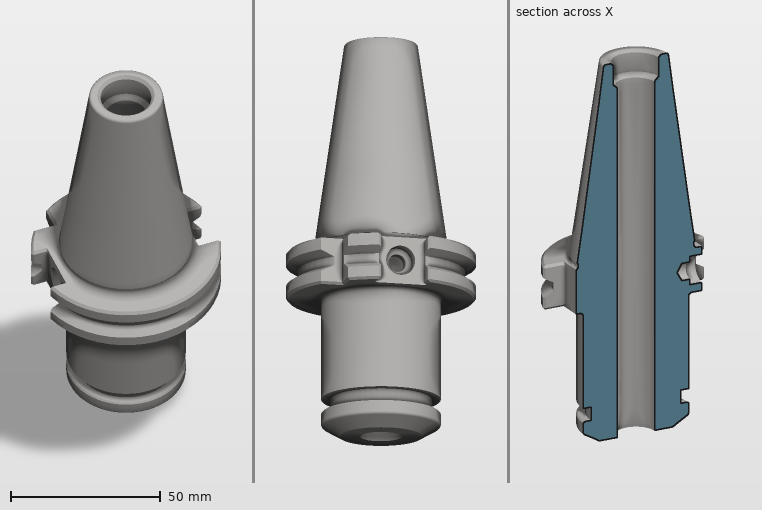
import cadquery as cq
import math


GAUGE_DIAMETER = 44.45
TAPER_LENGTH = 68.4
TAPER_RATIO = 7 / 24
TAPER_OVERRUN = 1.0
SHANK_END_FILLET = 1.0

NECK_DIAMETER = 44.0
NECK_FILLET = 1.0

FLANGE_DIAMETER = 63.55
FLANGE_TOP = -3.1
FLANGE_BOTTOM = -19.0
FLANGE_CHAMFER = 0.85

GROOVE_Z = -11.0
GROOVE_FLOOR_DIAMETER = 56.25
GROOVE_FLOOR_WIDTH = 3.0
GROOVE_FLANK_ANGLE = 30

SLOT_WIDTH = 16.1
REAR_SLOT_DISTANCE = 22.6
FRONT_SLOT_DISTANCE = 25.0
SLOT_FILLET = 0.5
NOTCH_DISTANCE = 18.5

CHIP_HOLE_DIAMETER = 10.0
CHIP_HOLE_DEPTH = 4.6
PILOT_DIAMETER = 6.0
PILOT_DEPTH = 3.0
DRILL_POINT_ANGLE = 118

TOTAL_LENGTH = 134.25
BODY_DIAMETER = 40.0
BODY_FILLET = 1.2
RECESS_DIAMETER = 34.0
RECESS_TOP = -53.2
RECESS_BOTTOM = -57.8
COLLAR_CHAMFER = 0.5
COLLAR_FILLET = 1.0
NOSE_DIAMETER = 27.7
NOSE_CONE_ANGLE = 30

BORE_DIAMETER = 13.84
COUNTERBORE_DIAMETER = 17.0
COUNTERBORE_DEPTH = 7.8
COUNTERBORE_CHAMFER = 1.0

BODY_BOTTOM = TAPER_LENGTH - TOTAL_LENGTH
FLANGE_RADIUS = FLANGE_DIAMETER / 2
FLANGE_HEIGHT = FLANGE_TOP - FLANGE_BOTTOM
CLEARANCE = 1.0


def taper_radius(z):
    return (GAUGE_DIAMETER - z * TAPER_RATIO) / 2


def revolve_profile(sketch):
    """Turn a closed profile, drawn as radius against height, about its own vertical axis."""
    return sketch.close().revolve(360, (0, 0, 0), (0, 1, 0))


def point_on_round(center, radius, angle):
    return (center[0] + radius * math.cos(angle), center[1] + radius * math.sin(angle))


def make_turned_body():
    neck_radius = NECK_DIAMETER / 2
    body_radius = BODY_DIAMETER / 2
    recess_radius = RECESS_DIAMETER / 2
    nose_radius = NOSE_DIAMETER / 2
    nose_height = (body_radius - nose_radius) * math.tan(math.radians(NOSE_CONE_ANGLE))
    cone_top = BODY_BOTTOM + nose_height
    round_angle = math.radians(90 - NOSE_CONE_ANGLE)
    tangent = COLLAR_FILLET * math.tan(round_angle / 2)
    round_center = (body_radius - COLLAR_FILLET, cone_top + tangent)
    half_taper = math.atan(TAPER_RATIO / 2)
    end_tangent = SHANK_END_FILLET * math.tan((math.pi / 2 - half_taper) / 2)
    end_center = (taper_radius(TAPER_LENGTH) - end_tangent, TAPER_LENGTH - SHANK_END_FILLET)
    end_middle_angle = (math.pi / 2 + half_taper) / 2
    quarter = 1 - math.sqrt(0.5)

    profile = (
        cq.Workplane("XZ")
        .moveTo(0, TAPER_LENGTH)
        .lineTo(end_center[0], TAPER_LENGTH)
        .threePointArc(
            point_on_round(end_center, SHANK_END_FILLET, end_middle_angle),
            point_on_round(end_center, SHANK_END_FILLET, half_taper),
        )
        .lineTo(taper_radius(-TAPER_OVERRUN), -TAPER_OVERRUN)
        .lineTo(neck_radius, -TAPER_OVERRUN)
        .lineTo(neck_radius, FLANGE_TOP + NECK_FILLET)
        .threePointArc(
            (neck_radius + NECK_FILLET * quarter, FLANGE_TOP + NECK_FILLET * quarter),
            (neck_radius + NECK_FILLET, FLANGE_TOP),
        )
        .lineTo(neck_radius, FLANGE_TOP)
        .lineTo(neck_radius, FLANGE_BOTTOM)
        .lineTo(body_radius + BODY_FILLET, FLANGE_BOTTOM)
        .threePointArc(
            (body_radius + BODY_FILLET * quarter, FLANGE_BOTTOM - BODY_FILLET * quarter),
            (body_radius, FLANGE_BOTTOM - BODY_FILLET),
        )
        .lineTo(body_radius, RECESS_TOP)
        .lineTo(recess_radius, RECESS_TOP)
        .lineTo(recess_radius, RECESS_BOTTOM)
        .lineTo(body_radius - COLLAR_CHAMFER, RECESS_BOTTOM)
        .lineTo(body_radius, RECESS_BOTTOM - COLLAR_CHAMFER)
        .lineTo(body_radius, round_center[1])
        .threePointArc(
            point_on_round(round_center, COLLAR_FILLET, -round_angle / 2),
            point_on_round(round_center, COLLAR_FILLET, -round_angle),
        )
        .lineTo(nose_radius, BODY_BOTTOM)
        .lineTo(0, BODY_BOTTOM)
    )
    return revolve_profile(profile)


def make_slot_cutter(direction, floor_distance):
    """Drive slot open outward along direction * Y, reaching up to the end of the taper."""
    length = FLANGE_RADIUS + CLEARANCE - floor_distance
    return (
        cq.Workplane("XY", origin=(0, direction * (floor_distance + length / 2), FLANGE_BOTTOM))
        .rect(SLOT_WIDTH, length)
        .extrude(-TAPER_OVERRUN - FLANGE_BOTTOM)
    )


def make_notch_cutter():
    size = FLANGE_RADIUS - NOTCH_DISTANCE
    return cq.Workplane("XY", origin=(-NOTCH_DISTANCE, -NOTCH_DISTANCE, FLANGE_BOTTOM)).rect(
        -size, -size, centered=False
    ).extrude(FLANGE_HEIGHT)


def make_groove_cutter():
    floor_radius = GROOVE_FLOOR_DIAMETER / 2
    outer_radius = FLANGE_RADIUS + CLEARANCE
    half_floor = GROOVE_FLOOR_WIDTH / 2
    half_mouth = half_floor + (outer_radius - floor_radius) * math.tan(math.radians(GROOVE_FLANK_ANGLE))
    profile = (
        cq.Workplane("XZ")
        .moveTo(floor_radius, GROOVE_Z - half_floor)
        .lineTo(outer_radius, GROOVE_Z - half_mouth)
        .lineTo(outer_radius, GROOVE_Z + half_mouth)
        .lineTo(floor_radius, GROOVE_Z + half_floor)
    )
    return revolve_profile(profile)


def is_slot_floor_edge(edge):
    """True for the straight lines across a slot floor, which stay sharp."""
    center = edge.Center()
    return edge.geomType() == "LINE" and abs(center.x) < SLOT_FILLET


def is_at_slot_wall(edge):
    return abs(abs(edge.Center().x) - SLOT_WIDTH / 2) < SLOT_FILLET / 2


def is_on_rim(edge):
    center = edge.Center()
    return math.hypot(center.x, center.y) > FLANGE_RADIUS - SLOT_FILLET


def make_flange():
    flange = cq.Workplane("XY", origin=(0, 0, FLANGE_BOTTOM)).circle(FLANGE_RADIUS).extrude(FLANGE_HEIGHT)
    flange = flange.cut(make_slot_cutter(1, REAR_SLOT_DISTANCE))
    flange = flange.cut(make_slot_cutter(-1, FRONT_SLOT_DISTANCE))
    flange = flange.cut(make_notch_cutter())

    face_edges = flange.faces("<Z or >Z").edges().filter(lambda edge: not is_slot_floor_edge(edge))
    mouth_edges = flange.edges("|Z").filter(lambda edge: is_at_slot_wall(edge) and is_on_rim(edge))
    flange = face_edges.add(mouth_edges).chamfer(FLANGE_CHAMFER)

    floor_corners = flange.edges("|Z").filter(lambda edge: is_at_slot_wall(edge) and not is_on_rim(edge))
    flange = floor_corners.fillet(SLOT_FILLET)
    return flange.cut(make_groove_cutter())


def make_chip_hole_cutter():
    """Stepped blind hole entering the front slot floor toward +Y."""
    hole_radius = CHIP_HOLE_DIAMETER / 2
    pilot_radius = PILOT_DIAMETER / 2
    pilot_end = CHIP_HOLE_DEPTH + PILOT_DEPTH
    point_length = pilot_radius / math.tan(math.radians(DRILL_POINT_ANGLE / 2))
    profile = (
        cq.Workplane("XY", origin=(0, -FRONT_SLOT_DISTANCE, GROOVE_Z))
        .moveTo(0, 0)
        .lineTo(hole_radius, 0)
        .lineTo(hole_radius, CHIP_HOLE_DEPTH)
        .lineTo(pilot_radius, CHIP_HOLE_DEPTH)
        .lineTo(pilot_radius, pilot_end)
        .lineTo(0, pilot_end + point_length)
    )
    return revolve_profile(profile)


def make_bore_cutter():
    bore_radius = BORE_DIAMETER / 2
    counterbore_radius = COUNTERBORE_DIAMETER / 2
    shoulder_z = TAPER_LENGTH - COUNTERBORE_DEPTH
    profile = (
        cq.Workplane("XZ")
        .moveTo(0, TAPER_LENGTH)
        .lineTo(counterbore_radius + COUNTERBORE_CHAMFER, TAPER_LENGTH)
        .lineTo(counterbore_radius, TAPER_LENGTH - COUNTERBORE_CHAMFER)
        .lineTo(counterbore_radius, shoulder_z)
        .lineTo(bore_radius, shoulder_z - (counterbore_radius - bore_radius))
        .lineTo(bore_radius, BODY_BOTTOM)
        .lineTo(0, BODY_BOTTOM)
    )
    return revolve_profile(profile)


result = (
    make_turned_body()
    .cut(make_slot_cutter(1, REAR_SLOT_DISTANCE))
    .union(make_flange())
    .cut(make_chip_hole_cutter())
    .cut(make_bore_cutter())
)